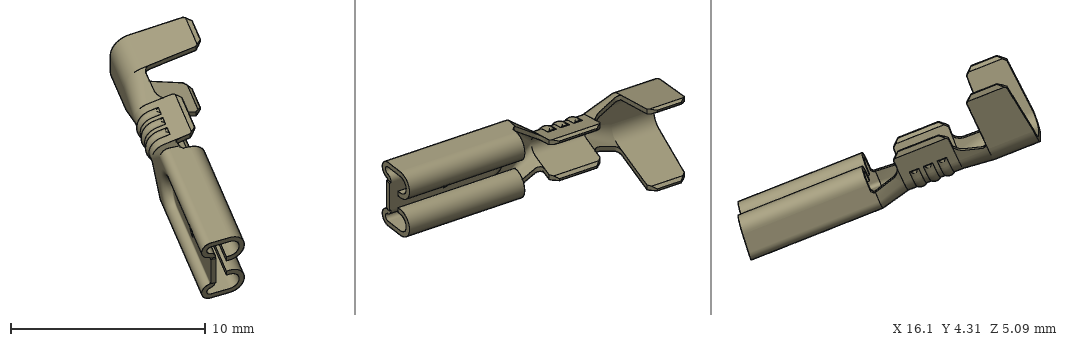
import cadquery as cq
import math

SHEET = 0.29
LENGTH = 16.13

INSULATION_END = 2.53
CRIMP_START = 4.27
CRIMP_END = 7.34
BOX_START = 8.76
WALL_START = 8.97
RECESS_START = 10.3

ARM_LEAN = math.radians(14.5)
INSULATION_FLOOR = 0.56
INSULATION_RADIUS = 1.25
INSULATION_HEIGHT = 4.21
INSULATION_TAPER = 0.29
CRIMP_FLOOR = 0.02
CRIMP_RADIUS = 0.89
CRIMP_HEIGHT = 2.44
TIP_LENGTH = 0.27
TIP_THICKNESS = 0.1
CORNER_WIDTH = 0.4
CORNER_HEIGHT = 0.37

BEAD_SPACING = 0.77
BEAD_WIDTH = 0.52
BEAD_HEIGHT = 0.1
BEAD_ROOT = 0.08
BEAD_TOP = 1.13
BEAD_HALF_SPAN = 1.05

BOX_HALF = 1.98
LEG_RADIUS = 0.52
LEG_Z = BOX_HALF - LEG_RADIUS
CURL_RADIUS = 0.8
CURL_Y = 1.56
CURL_Z = BOX_HALF - CURL_RADIUS
CURL_LIP = 0.2
RECESS_DEPTH = 0.48
RECESS_FILLET = 0.1
WALL_END_BOTTOM = 16.1
WALL_END_TOP = 15.87
DIMPLE_X = 12.92
DIMPLE_RADIUS = 0.52
DIMPLE_DEPTH = 0.06

NECK_LOW = 1.06
NECK_HIGH = 1.21
NECK_ARM = 1.94
INSULATION_FLARE = 0.26
CRIMP_REAR_FLARE = (0.48, 0.34)
CRIMP_REAR_FLARE_RADIUS = 0.8
CRIMP_FRONT_FLARE = (0.32, 0.4)
CRIMP_FRONT_FLARE_RADIUS = 0.45
BOX_STEP = 0.13

CLEARANCE = 6.45
MARGIN = 0.16


def polar(center, radius, angle):
    """Point (y, z) at an angle measured from +Y toward +Z."""
    return (center[0] + radius * math.cos(angle), center[1] + radius * math.sin(angle))


def mirrored(point):
    return (point[0], -point[1])


LEG_CENTER = (LEG_RADIUS, LEG_Z)
FILLET_Y = RECESS_DEPTH - RECESS_FILLET
BEND_ANGLE = -math.acos((FILLET_Y - LEG_RADIUS) / (LEG_RADIUS + RECESS_FILLET))
FILLET_CENTER = polar(LEG_CENTER, LEG_RADIUS + RECESS_FILLET, BEND_ANGLE)


def section_plane(x):
    return cq.Workplane("YZ", origin=(x, 0, 0))


def u_section(x, floor_half, radius, lean, height, tip_length=0.0, tip_thickness=SHEET):
    """Closed U-shaped sheet section with leaning arms and tips bevelled on both faces."""
    center = (radius, floor_half)
    normal_angle = math.pi / 2 + lean
    middle_angle = (math.pi + normal_angle) / 2
    inner_radius = radius - SHEET

    def arm_point(depth, y_at_outer_face):
        base = polar(center, radius - depth, normal_angle)
        run = (y_at_outer_face - polar(center, radius, normal_angle)[0]) / math.cos(lean)
        return polar(base, run, lean)

    bevel = (SHEET - tip_thickness) / 2
    outer_arc = [polar(center, radius, middle_angle), polar(center, radius, normal_angle)]
    inner_arc = [polar(center, inner_radius, middle_angle), (SHEET, floor_half)]
    inner_end = polar(center, inner_radius, normal_angle)
    tip = [arm_point(0, height - tip_length)]
    if tip_length:
        tip += [arm_point(bevel, height), arm_point(SHEET - bevel, height)]
    tip += [arm_point(SHEET, height - tip_length)]

    sketch = section_plane(x).moveTo(0, -floor_half).lineTo(0, floor_half).threePointArc(*outer_arc)
    for point in tip + [inner_end]:
        sketch = sketch.lineTo(*point)
    sketch = sketch.threePointArc(*inner_arc).lineTo(SHEET, -floor_half)
    sketch = sketch.threePointArc(mirrored(inner_arc[0]), mirrored(inner_end))
    for point in reversed(tip):
        sketch = sketch.lineTo(*mirrored(point))
    sketch = sketch.lineTo(*mirrored(outer_arc[1]))
    return sketch.threePointArc(mirrored(outer_arc[0]), (0, -floor_half)).close()


def side_prism(points):
    """Polygon in X and Y, extended through the full width of the part."""
    return cq.Workplane("XY").polyline(points).close().extrude(CLEARANCE, both=True)


def barrel(start, end, floor_half, radius, height, taper):
    """Crimp barrel with bevelled, corner-clipped arms; taper narrows the arms from the start side."""
    section = u_section(start, floor_half, radius, ARM_LEAN, height, TIP_LENGTH, TIP_THICKNESS)
    shoulder = height - CORNER_HEIGHT
    outline = side_prism([
        (start, 0),
        (start, radius * (1 - math.sin(ARM_LEAN))),
        (start + taper, shoulder),
        (start + taper + CORNER_WIDTH, height),
        (end - CORNER_WIDTH, height),
        (end, shoulder),
        (end, 0),
    ])
    return section.extrude(end - start).intersect(outline)


def neck(start_section, end_section):
    """Ruled transition between two U sections of the same topology."""
    wires = [section.wire().val() for section in (start_section, end_section)]
    return cq.Workplane(cq.Solid.makeLoft(wires, True))


def rear_neck():
    flare_run, flare_rise = CRIMP_REAR_FLARE
    solid = neck(
        u_section(INSULATION_END, INSULATION_FLOOR, INSULATION_RADIUS, ARM_LEAN, NECK_ARM),
        u_section(CRIMP_START, CRIMP_FLOOR, CRIMP_RADIUS, ARM_LEAN, NECK_ARM),
    )
    above = (
        cq.Workplane("XY")
        .moveTo(INSULATION_END, CLEARANCE)
        .lineTo(INSULATION_END, NECK_LOW + INSULATION_FLARE)
        .radiusArc((INSULATION_END + INSULATION_FLARE, NECK_LOW), -INSULATION_FLARE)
        .lineTo(CRIMP_START - flare_run, NECK_HIGH)
        .radiusArc((CRIMP_START, NECK_HIGH + flare_rise), -CRIMP_REAR_FLARE_RADIUS)
        .lineTo(CRIMP_START, CLEARANCE)
        .close()
        .extrude(CLEARANCE, both=True)
    )
    return solid.cut(above)


def front_neck():
    flare_run, flare_rise = CRIMP_FRONT_FLARE
    solid = neck(
        u_section(CRIMP_END, CRIMP_FLOOR, CRIMP_RADIUS, ARM_LEAN, NECK_ARM),
        u_section(BOX_START, LEG_Z, LEG_RADIUS, 0, NECK_ARM),
    )
    above = (
        cq.Workplane("XY")
        .moveTo(CRIMP_END, CLEARANCE)
        .lineTo(CRIMP_END, NECK_HIGH + flare_rise)
        .radiusArc((CRIMP_END + flare_run, NECK_HIGH), -CRIMP_FRONT_FLARE_RADIUS)
        .lineTo(BOX_START, NECK_LOW)
        .lineTo(BOX_START, CLEARANCE)
        .close()
        .extrude(CLEARANCE, both=True)
    )
    return solid.cut(above)


def bead(x):
    """Raised round bead following the outside of the wire crimp."""
    center = (CRIMP_RADIUS, CRIMP_FLOOR)
    normal_angle = math.pi / 2 + ARM_LEAN
    arc_end = polar(center, CRIMP_RADIUS, normal_angle)
    top = polar(arc_end, (BEAD_TOP - arc_end[0]) / math.cos(ARM_LEAN), ARM_LEAN)
    arc_middle = polar(center, CRIMP_RADIUS, (math.pi + normal_angle) / 2)
    path = (
        section_plane(x)
        .moveTo(0, 0)
        .lineTo(0, CRIMP_FLOOR)
        .threePointArc(arc_middle, arc_end)
        .lineTo(*top)
    )
    half_width = BEAD_WIDTH / 2
    bar = (
        cq.Workplane("XY")
        .moveTo(x - half_width, BEAD_ROOT)
        .lineTo(x - half_width, 0)
        .threePointArc((x, -BEAD_HEIGHT), (x + half_width, 0))
        .lineTo(x + half_width, BEAD_ROOT)
        .close()
        .sweep(path)
    )
    span = cq.Workplane("XY").box(2 * LENGTH, CLEARANCE, 2 * BEAD_HALF_SPAN)
    return bar.union(bar.mirror("XY")).intersect(span)


def wall_and_curl(start):
    """Side wall from the leg bend up through the inward curl to its lip, on the +Z side."""
    curl_center = (CURL_Y, CURL_Z)
    lip_y = CURL_Y - CURL_LIP
    inner_curl = CURL_RADIUS - SHEET
    inner_leg = LEG_RADIUS - SHEET
    bend_middle = math.radians(135)
    return (
        section_plane(start)
        .moveTo(0, LEG_Z)
        .threePointArc(polar(LEG_CENTER, LEG_RADIUS, bend_middle), (LEG_RADIUS, BOX_HALF))
        .lineTo(CURL_Y, BOX_HALF)
        .threePointArc((CURL_Y + CURL_RADIUS, CURL_Z), polar(curl_center, CURL_RADIUS, -math.pi / 2))
        .lineTo(lip_y, CURL_Z - CURL_RADIUS)
        .lineTo(lip_y, CURL_Z - inner_curl)
        .lineTo(CURL_Y, CURL_Z - inner_curl)
        .threePointArc((CURL_Y + inner_curl, CURL_Z), (CURL_Y, CURL_Z + inner_curl))
        .lineTo(LEG_RADIUS, LEG_Z + inner_leg)
        .threePointArc(polar(LEG_CENTER, inner_leg, bend_middle), (SHEET, LEG_Z))
        .close()
        .extrude(LENGTH - start)
    )


def recess_section(x):
    """Sheet section from the leg's lowest line, up the reverse bend, to the middle of the raised floor."""
    leg_middle = (BEND_ANGLE - math.pi) / 2
    touch = BEND_ANGLE + math.pi
    fillet_middle = touch / 2
    inner_leg = LEG_RADIUS - SHEET
    inner_fillet = RECESS_FILLET + SHEET
    floor_top = RECESS_DEPTH + SHEET
    return (
        section_plane(x)
        .moveTo(RECESS_DEPTH, 0)
        .lineTo(RECESS_DEPTH, FILLET_CENTER[1])
        .threePointArc(
            polar(FILLET_CENTER, RECESS_FILLET, fillet_middle),
            polar(FILLET_CENTER, RECESS_FILLET, touch),
        )
        .threePointArc(polar(LEG_CENTER, LEG_RADIUS, leg_middle), (0, LEG_Z))
        .lineTo(SHEET, LEG_Z)
        .threePointArc(
            polar(LEG_CENTER, inner_leg, leg_middle),
            polar(LEG_CENTER, inner_leg, BEND_ANGLE),
        )
        .threePointArc(polar(FILLET_CENTER, inner_fillet, fillet_middle), (floor_top, FILLET_CENTER[1]))
        .lineTo(floor_top, 0)
        .close()
    )


def box_half():
    """The +Z half of the receptacle, with a straight recess behind a rounded start."""
    flat_floor = (
        cq.Workplane("XZ", origin=(0, SHEET, 0))
        .moveTo(BOX_START, 0)
        .lineTo(BOX_START, LEG_Z)
        .lineTo(RECESS_START, LEG_Z)
        .radiusArc((RECESS_START - LEG_Z, 0), -LEG_Z)
        .close()
        .extrude(SHEET)
    )
    round_start = recess_section(RECESS_START).revolve(90, (0, 0), (-1, 0))
    straight = recess_section(RECESS_START).extrude(LENGTH - RECESS_START)
    walls = wall_and_curl(BOX_START)
    front_gap = side_prism([
        (0, NECK_LOW),
        (WALL_START - BOX_STEP, NECK_LOW),
        (WALL_START, NECK_LOW + BOX_STEP),
        (WALL_START, CLEARANCE),
        (0, CLEARANCE),
    ])
    end_slope = (WALL_END_TOP - WALL_END_BOTTOM) / (CURL_Y + CURL_RADIUS)
    beyond_end = side_prism([
        (WALL_END_BOTTOM - end_slope * MARGIN, -MARGIN),
        (WALL_END_BOTTOM + end_slope * CLEARANCE, CLEARANCE),
        (LENGTH + MARGIN, CLEARANCE),
        (LENGTH + MARGIN, -MARGIN),
    ])
    raised_floor = (
        section_plane(RECESS_START)
        .rect(2 * (RECESS_DEPTH + SHEET), 2 * FILLET_CENTER[1])
        .extrude(LENGTH - RECESS_START)
    )
    walls = walls.cut(front_gap)
    trimmed = straight.union(walls).cut(beyond_end.cut(raised_floor))
    return trimmed.union(flat_floor).union(round_start)


def dimple(y):
    """Half disc with its straight edge toward the mouth of the receptacle."""
    return (
        cq.Workplane("XZ", origin=(0, y + DIMPLE_DEPTH, 0))
        .moveTo(DIMPLE_X, -DIMPLE_RADIUS)
        .lineTo(DIMPLE_X, DIMPLE_RADIUS)
        .threePointArc((DIMPLE_X - DIMPLE_RADIUS, 0), (DIMPLE_X, -DIMPLE_RADIUS))
        .close()
        .extrude(DIMPLE_DEPTH)
    )


upper_box = box_half()
box = upper_box.union(upper_box.mirror("XY"))
box = box.union(dimple(RECESS_DEPTH + SHEET)).cut(dimple(RECESS_DEPTH))

insulation_barrel = barrel(
    0, INSULATION_END, INSULATION_FLOOR, INSULATION_RADIUS, INSULATION_HEIGHT, INSULATION_TAPER
)
wire_barrel = barrel(CRIMP_START, CRIMP_END, CRIMP_FLOOR, CRIMP_RADIUS, CRIMP_HEIGHT, 0)
crimp_middle = (CRIMP_START + CRIMP_END) / 2
for step in (-1, 0, 1):
    wire_barrel = wire_barrel.union(bead(crimp_middle + step * BEAD_SPACING))

result = insulation_barrel.union(rear_neck()).union(wire_barrel).union(front_neck()).union(box)